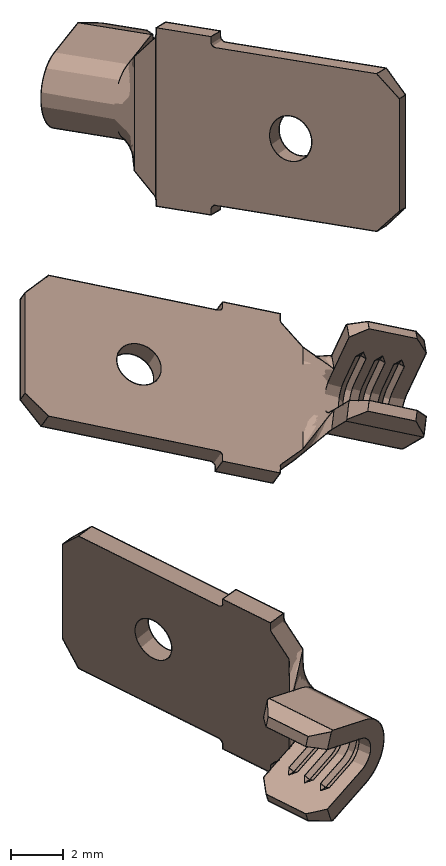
import cadquery as cq
import math

thickness = 0.8
length = 15.32
barrel_length = 3.15
neck_start = 4.03
shoulder_start = 4.95
shoulder_end = 7.3
tip_start = 14.42

neck_half = 2.28
shoulder_half = 3.57
blade_half = 3.15
corner_radius = 0.2

plate_front = 0.03
plate_back = plate_front + thickness
tip_bevel = 0.14
hole_x = 10.72
hole_diameter = 1.81

inner_radius = 0.8
outer_radius = inner_radius + thickness
barrel_axis_y = plate_front + outer_radius
flare_angle = 18.0
total_depth = 3.98
end_thickness = 0.43
end_bevel = thickness - end_thickness
end_chamfer = 0.6
end_bevel_length = 0.69
sin_flare = math.sin(math.radians(flare_angle))
cos_flare = math.cos(math.radians(flare_angle))
leg_length = (total_depth - barrel_axis_y + inner_radius * sin_flare) / cos_flare

transition_leg = 0.49
groove_count = 3
groove_pitch = 0.78
groove_width = 0.43
groove_depth = 0.12
groove_leg = 1.29
groove_tip = 0.28
groove_tip_closure = 0.95


def barrel_point(radius, along, side):
    """(Y, Z) on a leg, at a radius from the bend and a distance past the bend."""
    y = barrel_axis_y - radius * sin_flare + along * cos_flare
    z = radius * cos_flare + along * sin_flare
    return y, side * z


def channel_section(x, legs):
    """U-shaped section of the bent sheet in the plane at x."""
    return (
        cq.Workplane("YZ", origin=(x, 0, 0))
        .moveTo(*barrel_point(outer_radius, legs, 1))
        .lineTo(*barrel_point(outer_radius, 0, 1))
        .threePointArc((barrel_axis_y - outer_radius, 0), barrel_point(outer_radius, 0, -1))
        .lineTo(*barrel_point(outer_radius, legs, -1))
        .lineTo(*barrel_point(inner_radius, legs, -1))
        .lineTo(*barrel_point(inner_radius, 0, -1))
        .threePointArc((barrel_axis_y - inner_radius, 0), barrel_point(inner_radius, 0, 1))
        .lineTo(*barrel_point(inner_radius, legs, 1))
        .close()
    )


def neck_bend_half(radius):
    """Neck half height fed by the bend, in proportion to its arc so that the skin stays smooth."""
    half_arc = radius * math.radians(90 - flare_angle)
    return neck_half * half_arc / (half_arc + transition_leg)


def neck_section():
    """Flat neck section, split at the points that match the U-shaped section."""
    front_half = neck_bend_half(outer_radius)
    back_half = neck_bend_half(inner_radius)
    front = [(0, neck_half), (0, front_half), (0, -front_half), (0, -neck_half)]
    back = [
        (plate_back, -neck_half),
        (plate_back, -back_half),
        (plate_back, back_half),
        (plate_back, neck_half),
    ]
    return cq.Workplane("YZ", origin=(neck_start, 0, 0)).polyline(front + back).close()


def make_transition():
    """Ruled skin blending the round barrel into the flat neck."""
    sections = [channel_section(barrel_length, transition_leg), neck_section()]
    wires = [section.wire().val() for section in sections]
    return cq.Workplane(cq.Solid.makeLoft(wires, True))


def end_bevel_cutter(side):
    """Wedge that thins the outer face of a leg towards its end."""
    return (
        cq.Workplane("YZ")
        .moveTo(*barrel_point(outer_radius, leg_length - end_bevel_length, side))
        .lineTo(*barrel_point(outer_radius - end_bevel, leg_length, side))
        .lineTo(*barrel_point(outer_radius, leg_length, side))
        .close()
        .extrude(barrel_length)
    )


def end_corner_cutter(start, direction, side):
    """Triangular prism, square to a leg, that clips one corner of its end."""
    corner_y, corner_z = barrel_point(inner_radius, leg_length, side)
    leg_plane = cq.Plane(
        origin=(start, corner_y, corner_z),
        xDir=(1, 0, 0),
        normal=(0, -sin_flare, side * cos_flare),
    )
    back = -side * end_chamfer
    return (
        cq.Workplane(leg_plane)
        .polyline([(0, 0), (direction * end_chamfer, 0), (0, back)])
        .close()
        .extrude(thickness)
    )


def diamond(plane):
    """Groove cutter section; its inner half lies in the open channel."""
    half_width = groove_width / 2
    points = [(half_width, 0), (0, groove_depth), (-half_width, 0), (0, -groove_depth)]
    return cq.Workplane(plane).polyline(points).close()


def groove_cutter(x):
    """V-groove following the inside of the channel, fading to a point on each leg."""
    start_y, start_z = barrel_point(inner_radius, groove_leg, 1)
    path = (
        cq.Workplane("YZ", origin=(x, 0, 0))
        .moveTo(start_y, start_z)
        .lineTo(*barrel_point(inner_radius, 0, 1))
        .threePointArc((barrel_axis_y - inner_radius, 0), barrel_point(inner_radius, 0, -1))
        .lineTo(*barrel_point(inner_radius, groove_leg, -1))
    )
    start_plane = cq.Plane((x, start_y, start_z), (1, 0, 0), (0, cos_flare, sin_flare))
    half_width = groove_width / 2
    inscribed = half_width * groove_depth / math.hypot(half_width, groove_depth)
    tip_taper = math.degrees(math.atan(groove_tip_closure * inscribed / groove_tip))
    tip = diamond(start_plane).extrude(groove_tip, taper=tip_taper)
    return diamond(start_plane).sweep(path).union(tip).union(tip.mirror("XY"))


def make_barrel():
    barrel = channel_section(0, leg_length).extrude(barrel_length)
    for side in (1, -1):
        barrel = barrel.cut(end_bevel_cutter(side))
        barrel = barrel.cut(end_corner_cutter(0, 1, side))
        barrel = barrel.cut(end_corner_cutter(barrel_length, -1, side))
    for index in range(groove_count):
        offset = (index - (groove_count - 1) / 2) * groove_pitch
        barrel = barrel.cut(groove_cutter(barrel_length / 2 + offset))
    return barrel


def plate_blank(front):
    """Neck, shoulders and blade outline, extruded from a front face to the back face."""
    neck_end_half = neck_half + shoulder_start - neck_start
    tip_half = blade_half - (length - tip_start)
    upper = [
        (neck_start, neck_half),
        (shoulder_start, neck_end_half),
        (shoulder_start, shoulder_half),
        (shoulder_end, shoulder_half),
        (shoulder_end, blade_half),
        (tip_start, blade_half),
        (length, tip_half),
    ]
    lower = [(x, -z) for x, z in reversed(upper)]
    blank = cq.Workplane("XZ", origin=(0, plate_back, 0)).polyline(upper + lower).close()
    blank = blank.extrude(plate_back - front)
    reach = blade_half + corner_radius
    inside_corners = cq.selectors.BoxSelector(
        (shoulder_start - corner_radius, 0, -reach),
        (shoulder_end + corner_radius, total_depth, reach),
    )
    return blank.edges("|Y").edges(inside_corners).fillet(corner_radius)


def make_plate():
    plate = plate_blank(plate_front)
    neck_box = cq.Workplane().box(
        shoulder_start - neck_start, plate_back, 2 * shoulder_half, centered=(False, False, True)
    )
    plate = plate.union(plate_blank(0).intersect(neck_box.translate((neck_start, 0, 0))))
    for face_y, bevel in ((plate_front, tip_bevel), (plate_back, -tip_bevel)):
        wedge = (
            cq.Workplane("XY", origin=(0, 0, -blade_half))
            .polyline([(tip_start, face_y), (length, face_y), (length, face_y + bevel)])
            .close()
            .extrude(2 * blade_half)
        )
        plate = plate.cut(wedge)
    hole = cq.Workplane("XZ").center(hole_x, 0).circle(hole_diameter / 2).extrude(-total_depth)
    return plate.cut(hole)


result = make_barrel().union(make_transition()).union(make_plate())